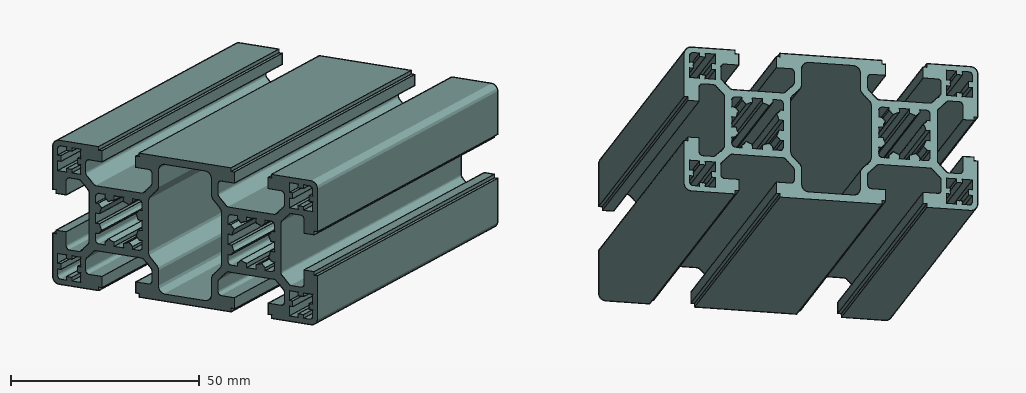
import cadquery as cq
import math

CELL = 40.0
WIDTH = 2 * CELL
LENGTH = 100.0
OUTER_RADIUS = 2.0
QUARTER_TURNS = (0, 90, 180, 270)
CELL_CENTERS = (-CELL / 2, CELL / 2)

SLOT_OPENING_HALF = 5.1
SLOT_STEP_HALF = 6.1
SLOT_STEP_DEPTH = 1.0
LIP_THICKNESS = 4.1
SLOT_INNER_HALF = 10.0
SLOT_FLOOR_HALF = 7.25
CORE_HALF = 9.0
SLOT_RADIUS = 1.0

CORE_CAVITY_HALF = 7.0
CORE_CAVITY_RADIUS = 1.0
BORE_RADIUS = 6.0
TOOTH_INNER_SIDE = 1.4
TOOTH_OUTER_SIDE = 4.2
TOOTH_TIP_OFFSET = 3.1

CORNER_WALL = 1.5
CORNER_CAVITY = 7.0
CORNER_CAVITY_RADIUS = 1.0
NUB_WIDTH = 1.6
NUB_HEIGHT = 1.0

CENTER_WALL = 2.0
CENTER_RADIUS = 2.0


def prism(outline):
    """Extrude a closed XZ outline symmetrically over the full length."""
    return outline.extrude(LENGTH / 2, both=True)


def box_prism(x_size, z_size, z=0):
    """Full-length bar of rectangular section, centred at height z."""
    return prism(cq.Workplane("XZ").center(0, z).rect(x_size, z_size))


def turned(shape, angle):
    """Turn a shape about the Y axis through the origin."""
    return shape.rotate((0, 0, 0), (0, 1, 0), angle)


def t_slot():
    """T-slot void of a cell centred on the origin, open toward +Z."""
    face = CELL / 2
    step_z = face - SLOT_STEP_DEPTH
    lip_z = face - LIP_THICKNESS
    shoulder_z = CORE_HALF + SLOT_INNER_HALF - SLOT_FLOOR_HALF
    right_side = [
        (SLOT_FLOOR_HALF, CORE_HALF),
        (SLOT_INNER_HALF, shoulder_z),
        (SLOT_INNER_HALF, lip_z),
        (SLOT_OPENING_HALF, lip_z),
        (SLOT_OPENING_HALF, step_z),
        (SLOT_STEP_HALF, step_z),
        (SLOT_STEP_HALF, face),
    ]
    left_side = [(-x, z) for x, z in reversed(right_side)]
    void = prism(cq.Workplane("XZ").polyline(right_side + left_side).close())
    rounded_corners = [
        (SLOT_FLOOR_HALF, CORE_HALF),
        (SLOT_INNER_HALF, shoulder_z),
        (SLOT_INNER_HALF, lip_z),
    ]
    for x, z in rounded_corners:
        for side in (-1, 1):
            corner = cq.NearestToPointSelector((side * x, 0, z))
            void = void.edges("|Y").edges(corner).fillet(SLOT_RADIUS)
    return void


def bore_tooth():
    """One tooth of the screw bore, on the +Z wall and the +X side of the bore axis."""
    tip_z = math.sqrt(BORE_RADIUS**2 - TOOTH_TIP_OFFSET**2)
    inner_z = math.sqrt(BORE_RADIUS**2 - TOOTH_INNER_SIDE**2)
    middle_angle = (math.atan2(tip_z, TOOTH_TIP_OFFSET) + math.atan2(inner_z, TOOTH_INNER_SIDE)) / 2
    arc_middle = (BORE_RADIUS * math.cos(middle_angle), BORE_RADIUS * math.sin(middle_angle))
    flank_z = tip_z + TOOTH_OUTER_SIDE - TOOTH_TIP_OFFSET
    return prism(
        cq.Workplane("XZ")
        .moveTo(TOOTH_INNER_SIDE, CORE_CAVITY_HALF)
        .lineTo(TOOTH_INNER_SIDE, inner_z)
        .threePointArc(arc_middle, (TOOTH_TIP_OFFSET, tip_z))
        .lineTo(TOOTH_OUTER_SIDE, flank_z)
        .lineTo(TOOTH_OUTER_SIDE, CORE_CAVITY_HALF)
        .close()
    )


def core_cavity():
    """Rounded square cavity with a pair of bore teeth on each wall."""
    size = 2 * CORE_CAVITY_HALF
    cavity = box_prism(size, size).edges("|Y").fillet(CORE_CAVITY_RADIUS)
    tooth = bore_tooth()
    for tooth_side in (tooth, tooth.mirror("YZ")):
        for angle in QUARTER_TURNS:
            cavity = cavity.cut(turned(tooth_side, angle))
    return cavity


def corner_cavity():
    """Square cavity in the +X +Z corner of the profile, with a nub on each wall."""
    cavity = box_prism(CORNER_CAVITY, CORNER_CAVITY)
    cavity = cavity.edges("|Y and >X and >Z").fillet(CORNER_CAVITY_RADIUS)
    nub = box_prism(NUB_WIDTH, NUB_HEIGHT, z=(CORNER_CAVITY - NUB_HEIGHT) / 2)
    for angle in QUARTER_TURNS:
        cavity = cavity.cut(turned(nub, angle))
    inset = CORNER_WALL + CORNER_CAVITY / 2
    return cavity.translate((WIDTH / 2 - inset, 0, CELL / 2 - inset))


def center_cavity():
    """Chamber between the cells, narrow above and below and wide at mid height."""
    wide_x = CELL / 2 - CORE_HALF
    narrow_x = CELL / 2 - SLOT_INNER_HALF - CENTER_WALL
    top_z = CELL / 2 - CENTER_WALL
    wide_z = 2 * CORE_HALF - SLOT_FLOOR_HALF - CENTER_WALL * math.sqrt(2)
    narrow_z = wide_z + wide_x - narrow_x
    right_side = [(wide_x, -wide_z), (wide_x, wide_z), (narrow_x, narrow_z), (narrow_x, top_z)]
    left_side = [(-narrow_x, top_z), (-narrow_x, narrow_z), (-wide_x, wide_z), (-wide_x, -wide_z)]
    bottom = [(-narrow_x, -narrow_z), (-narrow_x, -top_z), (narrow_x, -top_z), (narrow_x, -narrow_z)]
    chamber = prism(cq.Workplane("XZ").polyline(right_side + left_side + bottom).close())
    return chamber.edges("|Y").fillet(CENTER_RADIUS)


def profile_bar():
    """Rounded bar with six T-slots, two screw bores, four corner chambers and the middle chamber."""
    bar = box_prism(WIDTH, CELL).edges("|Y").fillet(OUTER_RADIUS)
    slot = t_slot()
    core = core_cavity()
    for x in CELL_CENTERS:
        outward = math.copysign(90, x)
        for angle in (0, 180, outward):
            bar = bar.cut(turned(slot, angle).translate((x, 0, 0)))
        bar = bar.cut(core.translate((x, 0, 0)))
    corner = corner_cavity()
    for upper in (corner, corner.mirror("YZ")):
        bar = bar.cut(upper).cut(upper.mirror("XY"))
    return bar.cut(center_cavity())


result = profile_bar()